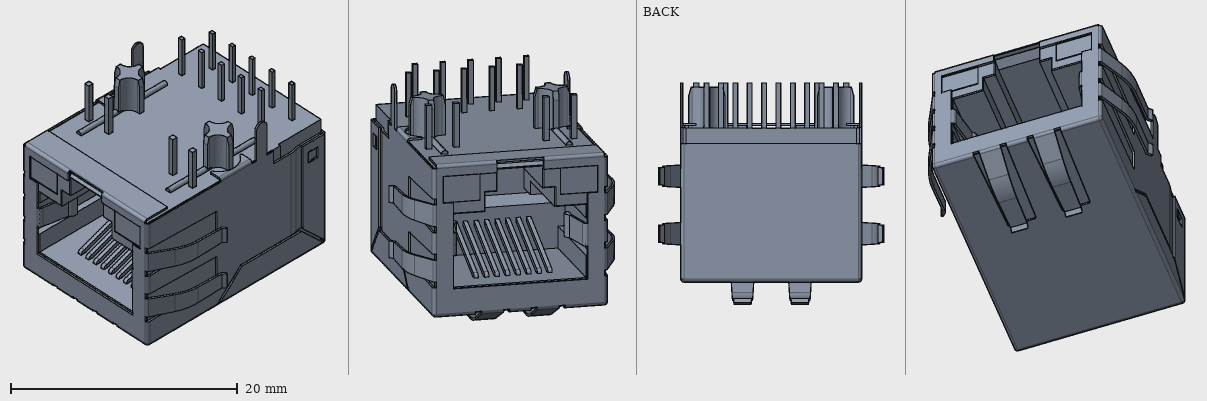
import cadquery as cq
import math


width = 15.97
length = 21.85
side_top = 13.65
sheet = 0.2
bend = 0.3
half_width = width / 2
inner_half = half_width - sheet

lip_top = 14.0
lip_depth = 2.77
lip_half_width = 7.65

opening_half_width = 6.12
opening_bottom = 2.55
window_half_width = 7.03
window_bottom = 10.46
window_top = 12.9
notch_half_width = 2.15

rear_top = 12.23
rear_cut_y = 15.42
joggle_front = 17.54
joggle_rear = 18.98
tongue_depth = 0.22
tongue_end = 21.4
tongue_bottom = 3.1

flap_top = 2.86
flap_front = 8.98
flap_rear = 21.35
flap_gap = 0.35

latch_y = 20.22
latch_z = 10.61
latch_size = 1.18

leg_y = 13.95
leg_radius = 0.63
leg_round = leg_radius - 0.0002
pin_top = 17.58

ear_half_length = 1.9
ear_inner_x = 6.65
ear_clearance = 1.95

finger_pitch = 5.07
side_finger_z = 6.81
finger_reach = 1.95
finger_angle = math.radians(26.8)
finger_arc_front = 2.35
finger_arc_rear = 4.63
hook_y = 7.88
finger_root_half = 1.0
finger_tip_half = 0.76
finger_tip_y = 8.04
finger_tip_round = 0.15
slot_root_half = 1.55
slot_end_half = 1.3
slot_end_y = 8.52
slot_corner = 0.17

spring_bottom = 5.57
spring_top = 7.67
spring_x = 5.77
spring_roll_y = 0.44
bulge_x = 4.94
bulge_y = 3.6
bulge_half_length = 0.55
bulge_root_x = 5.26

housing_top = 13.58
rear_half_width = 7.51
rear_step_y = 16.42

cavity_half_width = 6.03
cavity_floor = 2.65
cavity_shelf = 9.35
cavity_ceiling = 8.1
tab_half_width = 3.17
tab_shoulder = 11.14
latch_half_width = 2.07
latch_mouth_top = 13.24
mouth_chamfer = 0.09
shelf_setback = 8.74
lead_in_depth = 1.1
lip_chamfer = 0.3
upper_wall_y = 10.92
lower_wall_y = 10.05
ramp_top = 7.67
ramp_bottom = 6.84

recess_half_width = 6.66
recess_sill = 4.65

light_inner_x = 3.67
light_raise = 0.07

contact_count = 8
contact_pitch = 0.96
contact_width = 0.4
contact_front = 2.6
contact_tip_radius = 0.4
contact_rear_z = 5.72

pin_pitch = 2.53
pins_per_row = 5
row_offset = pin_pitch / 4
signal_rows = [(19.8, row_offset), (17.28, -row_offset)]
signal_pin = (0.44, 0.35)
led_pin = 0.5
led_pin_y = 6.84
led_pin_x = 5.35

peg_x = 5.68
peg_y = 10.88
peg_half = 1.6
peg_arm = 0.26
peg_flute = 1.05
peg_top = 17.2
peg_shoulder = 16.45
peg_tip_half = 1.4

rib_radius = 0.3
rib_front = 4.72
rib_rear = 15.27


def block(x, y, z):
    """Box between the (low, high) limits on each axis."""
    size = (x[1] - x[0], y[1] - y[0], z[1] - z[0])
    return cq.Workplane("XY").box(*size, centered=False).translate((x[0], y[0], z[0]))


def side_prism(points, x):
    """Polygon of (y, z) points extruded between two X limits."""
    return cq.Workplane("YZ").polyline(points).close().extrude(x[1] - x[0]).translate((x[0], 0, 0))


def both_sides(left_half):
    """A feature at -X together with its mirror image at +X."""
    return left_half.union(left_half.mirror("YZ"))


def shield_shell():
    shell = block((-half_width, half_width), (0, length), (0, side_top))
    shell = shell.edges("|Z or <Z").fillet(bend)
    inside = block((-inner_half, inner_half), (sheet, length - sheet), (sheet, side_top))
    above_rear = block((-half_width, half_width), (rear_cut_y, length), (rear_top, side_top))
    return shell.cut(inside).cut(above_rear)


def front_lip():
    lip = block((-lip_half_width, lip_half_width), (0, lip_depth), (window_top, lip_top))
    lip = lip.edges("<Y and >Z").fillet(bend)
    under = block((-lip_half_width, lip_half_width), (sheet, lip_depth), (window_top, lip_top - sheet))
    return lip.cut(under)


def front_opening():
    through = (0, sheet)
    plug = block((-opening_half_width, opening_half_width), through, (opening_bottom, window_top))
    lights = block((-window_half_width, window_half_width), through, (window_bottom, window_top))
    notch = block((-notch_half_width, notch_half_width), through, (window_top, lip_top))
    return plug.union(lights).union(notch)


def flap_outline(gap):
    """Bottom flap folded up the side: a trapezoid with 45 degree ends, grown by gap along Y."""
    top = tongue_bottom if gap else flap_top
    rise = top - bend
    front = flap_front - gap
    rear = flap_rear + gap
    return [(front, bend), (front + rise, top), (rear - rise, top), (rear, bend)]


def flap_gap_cutter():
    wall = (-half_width, -inner_half)
    return side_prism(flap_outline(flap_gap), wall).cut(side_prism(flap_outline(0), wall))


def joggled_tongue():
    """Rear end of the left side wall, stepped inward to lie under the rear flap."""
    middle = (joggle_front + joggle_rear) / 2
    outer = -half_width
    inner = outer + tongue_depth
    run = middle - joggle_front
    radius = (run**2 + (tongue_depth / 2) ** 2) / tongue_depth
    profile = (
        cq.Workplane("XY")
        .moveTo(outer, joggle_front)
        .radiusArc((outer + tongue_depth / 2, middle), radius)
        .radiusArc((inner, joggle_rear), -radius)
        .lineTo(inner, tongue_end)
        .lineTo(inner + sheet, tongue_end)
        .lineTo(inner + sheet, joggle_rear)
        .radiusArc((outer + tongue_depth / 2 + sheet, middle), radius)
        .radiusArc((outer + sheet, joggle_front), -radius)
        .close()
    )
    return profile.extrude(rear_top - tongue_bottom).translate((0, 0, tongue_bottom))


def latch_wedge():
    """Ramp on the tongue that catches in the square hole of the rear flap."""
    half = latch_size / 2
    base = -half_width + tongue_depth
    profile = cq.Workplane("XY").polyline(
        [(base, latch_y - half), (base - sheet, latch_y - half), (base, latch_y + half)]
    )
    return profile.close().extrude(latch_size).translate((0, 0, latch_z - half))


def ground_leg():
    leg = block((-half_width, -inner_half), (leg_y - leg_radius, leg_y + leg_radius), (rear_top, pin_top))
    return leg.edges("|X and >Z").fillet(leg_round)


def board_ear():
    """Tab bent over the housing top, hollowed around the board peg."""
    along = (peg_y - ear_half_length, peg_y + ear_half_length)
    ear = block((-half_width, -ear_inner_x), along, (rear_top, lip_top))
    ear = ear.edges("<X and >Z").fillet(bend)
    ear = ear.cut(block((-inner_half, -ear_inner_x), along, (rear_top, lip_top - sheet)))
    clearance = cq.Workplane("XY").center(-peg_x, peg_y).circle(ear_clearance).extrude(lip_top)
    return ear.cut(clearance)


def finger_footprint(root_half, end_half, end_y):
    return cq.Workplane("XY").polyline(
        [(-root_half, 0), (-end_half, end_y), (end_half, end_y), (root_half, 0)]
    ).close()


def spring_finger():
    """Finger below a wall at Z = 0, springing from the front bend and ending in a hook."""
    sine = math.sin(finger_angle)
    cosine = math.cos(finger_angle)
    root_y = bend * (1 - sine)
    root_z = bend * (1 - cosine)
    slope = sine / cosine
    arc_run = finger_arc_rear - finger_arc_front
    radius = arc_run / sine
    arc_z = root_z - (finger_arc_front - root_y) * slope
    flat_z = arc_z - radius * (1 - cosine)
    inner_root_z = root_z + sheet / cosine - (bend - root_y) * slope
    hook_run = sheet / math.sqrt(2)
    hook_rise = finger_reach + flat_z
    inner_radius = radius - sheet
    inner_arc = (finger_arc_rear - inner_radius * sine, flat_z + radius - inner_radius * cosine)
    profile = (
        cq.Workplane("YZ")
        .moveTo(root_y, root_z)
        .lineTo(finger_arc_front, arc_z)
        .radiusArc((finger_arc_rear, flat_z), -radius)
        .lineTo(hook_y - hook_rise, flat_z)
        .lineTo(hook_y, -finger_reach)
        .lineTo(hook_y + hook_run, hook_run - finger_reach)
        .lineTo(hook_y + 2 * hook_run - hook_rise - sheet, flat_z + sheet)
        .lineTo(finger_arc_rear, flat_z + sheet)
        .radiusArc(inner_arc, inner_radius)
        .lineTo(bend, inner_root_z)
        .close()
    )
    sheet_strip = profile.extrude(finger_root_half, both=True)
    outline = finger_footprint(finger_root_half, finger_tip_half, finger_tip_y)
    strip = outline.extrude(finger_reach + bend, both=True)
    strip = strip.edges("|Z and >Y").fillet(finger_tip_round)
    return sheet_strip.intersect(strip)


def finger_slot():
    """Slot around one finger; only the finger's own strip of the front bend is kept."""
    slot = finger_footprint(slot_root_half, slot_end_half, slot_end_y).extrude(bend)
    slot = slot.edges("|Z and >Y").fillet(slot_corner)
    root = finger_footprint(finger_root_half, finger_tip_half, finger_tip_y).extrude(bend)
    kept = root.intersect(block((-finger_root_half, finger_root_half), (0, bend), (0, bend)))
    return slot.cut(kept)


def at_finger_places(item):
    """Copies of an item on the bottom and both sides of the shield."""
    copies = []
    for offset in (-finger_pitch / 2, finger_pitch / 2):
        copies.append(item.translate((offset, 0, 0)))
        for side in (-1, 1):
            turned = item.rotate((0, 0, 0), (0, 1, 0), -90 * side)
            copies.append(turned.translate((side * half_width, 0, side_finger_z + offset)))
    return copies


def plug_spring():
    """Strip rolled in from the left edge of the opening, with a round bulge against the plug."""
    edge = -opening_half_width
    face = -spring_x
    root = -bulge_root_x
    start = bulge_y - bulge_half_length
    end = bulge_y + bulge_half_length
    profile = (
        cq.Workplane("XY")
        .moveTo(edge - sheet, 0)
        .lineTo(edge, 0)
        .threePointArc((edge + 0.7 * (face - edge), 0.3 * spring_roll_y), (face, spring_roll_y))
        .lineTo(root, start)
        .threePointArc((-bulge_x, bulge_y), (root, end))
        .lineTo(root - sheet, end)
        .lineTo(root - sheet, start)
        .lineTo(face - sheet, spring_roll_y)
        .lineTo(face - sheet, sheet)
        .lineTo(edge - sheet, sheet)
        .close()
    )
    return profile.extrude(spring_top - spring_bottom).translate((0, 0, spring_bottom))


def build_shield():
    joggle_window = block(
        (-half_width, -inner_half), (joggle_front, joggle_rear), (tongue_bottom, rear_top)
    )
    half = latch_size / 2
    latch_hole = block(
        (-half_width, -inner_half), (latch_y - half, latch_y + half), (latch_z - half, latch_z + half)
    )
    shield = shield_shell().union(front_lip()).cut(front_opening())
    for cutter in (flap_gap_cutter(), joggle_window, latch_hole):
        shield = shield.cut(both_sides(cutter))
    for slot in at_finger_places(finger_slot()):
        shield = shield.cut(slot)
    for finger in at_finger_places(spring_finger()):
        shield = shield.union(finger)
    for part in (joggled_tongue(), latch_wedge(), ground_leg(), board_ear(), plug_spring()):
        shield = shield.union(both_sides(part))
    return shield


def housing_block():
    body = block((-inner_half, inner_half), (sheet, length - sheet), (sheet, housing_top))
    side_step = block(
        (-inner_half, -rear_half_width), (rear_step_y, length - sheet), (sheet, housing_top)
    )
    return body.cut(both_sides(side_step))


def opening_outline(y):
    """Stepped plug opening in the XZ plane at a given Y."""
    right = [
        (cavity_half_width, cavity_floor),
        (cavity_half_width, cavity_shelf),
        (tab_half_width, cavity_shelf),
        (tab_half_width, tab_shoulder),
        (latch_half_width, tab_shoulder),
        (latch_half_width, window_top),
    ]
    left = [(-x, z) for x, z in reversed(right)]
    return cq.Workplane("XZ", origin=(0, y, 0)).polyline(right + left).close()


def plug_cavity():
    entry = opening_outline(shelf_setback).extrude(shelf_setback - sheet)
    mouth = opening_outline(sheet + mouth_chamfer).extrude(mouth_chamfer, taper=-45)
    lower = side_prism(
        [
            (sheet, cavity_floor),
            (lower_wall_y, cavity_floor),
            (lower_wall_y, ramp_bottom),
            (upper_wall_y, ramp_top),
            (upper_wall_y, cavity_ceiling),
            (sheet, cavity_ceiling),
        ],
        (-cavity_half_width, cavity_half_width),
    )
    along = (sheet, upper_wall_y)
    tab = block((-tab_half_width, tab_half_width), along, (cavity_ceiling, tab_shoulder))
    latch = block((-latch_half_width, latch_half_width), along, (tab_shoulder, window_top))
    lead_in = side_prism(
        [(sheet, window_top), (lead_in_depth, window_top), (sheet, latch_mouth_top)],
        (-latch_half_width, latch_half_width),
    )
    return mouth.union(entry).union(lower).union(tab).union(latch).union(lead_in)


def lip_chamfer_cutter():
    """Sloped top front edge of the housing under the shield's lip."""
    corner = [(sheet, housing_top), (sheet, housing_top - lip_chamfer), (sheet + lip_chamfer, housing_top)]
    return side_prism(corner, (-notch_half_width, notch_half_width))


def spring_recess():
    """Room in the left cavity wall for the shield's plug spring."""
    return block(
        (-recess_half_width, -cavity_half_width), (sheet, lower_wall_y), (recess_sill, cavity_ceiling)
    )


def indicator_light():
    """Face of the left light pipe, slightly proud of the housing front."""
    return block(
        (-window_half_width, -light_inner_x), (sheet - light_raise, sheet), (window_bottom, window_top)
    )


def contact_wires():
    """Square wires rising from a rounded tip on the cavity floor to the lower rear wall."""
    tip_y = contact_front + contact_tip_radius
    tip_z = cavity_floor + contact_tip_radius
    slope = math.atan2(contact_rear_z - tip_z, lower_wall_y - tip_y)
    depth = contact_width / math.cos(slope)
    foot_y = tip_y + (depth - contact_tip_radius) / math.tan(slope)
    profile = (
        cq.Workplane("YZ")
        .moveTo(contact_front, cavity_floor)
        .radiusArc((tip_y, tip_z), contact_tip_radius)
        .lineTo(lower_wall_y, contact_rear_z)
        .lineTo(lower_wall_y, contact_rear_z - depth)
        .lineTo(foot_y, cavity_floor)
        .close()
    )
    contact = profile.extrude(contact_width / 2, both=True)
    first = -contact_pitch * (contact_count - 1) / 2
    return [contact.translate((first + number * contact_pitch, 0, 0)) for number in range(contact_count)]


def board_pin(x, y, size_x, size_y):
    return block(
        (x - size_x / 2, x + size_x / 2), (y - size_y / 2, y + size_y / 2), (housing_top, pin_top)
    )


def board_pins():
    pins = []
    for row_y, offset in signal_rows:
        for number in range(pins_per_row):
            x = offset + (number - (pins_per_row - 1) / 2) * pin_pitch
            pins.append(board_pin(x, row_y, *signal_pin))
    for pair_x in (-led_pin_x, led_pin_x):
        for offset in (-pin_pitch / 2, pin_pitch / 2):
            pins.append(board_pin(pair_x + offset, led_pin_y, led_pin, led_pin))
    return pins


def board_peg():
    """Cross-shaped peg: a tapered-tip square post with round flutes in its corners."""
    height = peg_top - housing_top
    shoulder = peg_shoulder - housing_top
    reach = peg_arm + peg_flute
    across = cq.Workplane("XZ").polyline(
        [
            (-peg_half, 0),
            (-peg_half, shoulder),
            (-peg_tip_half, height),
            (peg_tip_half, height),
            (peg_half, shoulder),
            (peg_half, 0),
        ]
    ).close().extrude(peg_half, both=True)
    peg = across.intersect(across.rotate((0, 0, 0), (0, 0, 1), 90))
    for side_x in (-1, 1):
        for side_y in (-1, 1):
            flute = (
                cq.Workplane("XY")
                .moveTo(side_x * reach, side_y * peg_arm)
                .lineTo(side_x * peg_half, side_y * peg_arm)
                .lineTo(side_x * peg_half, side_y * peg_half)
                .lineTo(side_x * peg_arm, side_y * peg_half)
                .lineTo(side_x * peg_arm, side_y * reach)
                .radiusArc((side_x * reach, side_y * peg_arm), -side_x * side_y * peg_flute)
                .close()
                .extrude(height)
            )
            peg = peg.cut(flute)
    return peg.translate((-peg_x, peg_y, housing_top))


def standoff_rib():
    rib = cq.Workplane("XZ").center(-peg_x, housing_top).circle(rib_radius).extrude(rib_front - rib_rear)
    return rib.translate((0, rib_front, 0))


def build_housing():
    housing = housing_block().cut(plug_cavity()).cut(lip_chamfer_cutter())
    housing = housing.cut(both_sides(spring_recess()))
    for part in (indicator_light(), standoff_rib(), board_peg()):
        housing = housing.union(both_sides(part))
    for terminal in contact_wires() + board_pins():
        housing = housing.union(terminal)
    return housing


shield = build_shield()
housing = build_housing()
result = cq.Compound.makeCompound([shield.val(), housing.val()])